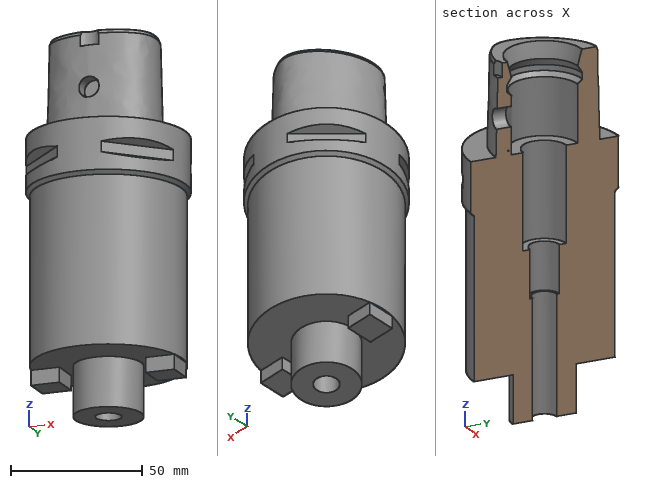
import cadquery as cq
import math

flange_diameter = 63.0
flange_height = 22.5
flange_chamfer = 1.5
body_diameter = flange_diameter - 2 * flange_chamfer
body_bottom_z = -90.0

shank_length = 38.0
shank_base_diameter = 44.3
shank_lobe_rise = 1.4
shank_diameter_taper = 1 / 20
shank_chamfer_height = 1.4
shank_chamfer_width = 0.6
lobed_point_count = 48

bore_diameter = 28.0
mouth_diameter = 31.6
mouth_depth = 6.6
undercut_diameter = 32.0
undercut_top_depth = 9.8
undercut_bottom_depth = 12.2
undercut_end_depth = 14.0
bore_depth = shank_length

screw_diameter = 18.2
screw_bottom_z = -40.0
thread_diameter = 12.4
thread_bottom_z = -60.0
coolant_diameter = 10.2

notch_radius = 5.0
notch_floor_y = -18.0
notch_depth = 5.8
side_hole_diameter = 8.2
side_hole_z = 15.5
side_hole_floor_y = -14.4

groove_count = 4
groove_first_angle = 45.0
groove_z = -11.9
groove_floor_distance = 27.7
groove_floor_height = 4.2
groove_mouth_height = 7.6

pilot_diameter = 27.0
pilot_length = 20.0
pilot_bottom_z = body_bottom_z - pilot_length
lug_width = 12.0
lug_height = 6.0
lug_inner_x = 17.7
lug_corner_radius = 30.0


def lobed_wire(diameter, z):
    """Closed three-lobed curve of constant width, with one lobe toward +Y."""

    def point(t):
        angle = 2 * math.pi * t
        support = diameter / 2 - shank_lobe_rise * math.sin(3 * angle)
        slope = -3 * shank_lobe_rise * math.cos(3 * angle)
        x = support * math.cos(angle) - slope * math.sin(angle)
        y = support * math.sin(angle) + slope * math.cos(angle)
        return (x, y, z)

    points = [point(i / lobed_point_count) for i in range(lobed_point_count)]
    spline = cq.Edge.makeSpline([cq.Vector(*p) for p in points], periodic=True)
    return cq.Wire.assembleEdges([spline])


def make_shank():
    """Tapered lobed shank with a chamfer around its top face."""
    chamfer_z = shank_length - shank_chamfer_height
    chamfer_diameter = shank_base_diameter - chamfer_z * shank_diameter_taper
    top_diameter = chamfer_diameter - 2 * shank_chamfer_width
    base = lobed_wire(shank_base_diameter, 0)
    shoulder = lobed_wire(chamfer_diameter, chamfer_z)
    top = lobed_wire(top_diameter, shank_length)
    taper = cq.Solid.makeLoft([base, shoulder], True)
    chamfer = cq.Solid.makeLoft([shoulder, top], True)
    return cq.Workplane(taper).union(cq.Workplane(chamfer))


def make_turned_body():
    """Flange, cylindrical body and pilot."""
    flange_radius = flange_diameter / 2
    body_radius = body_diameter / 2
    pilot_radius = pilot_diameter / 2
    return (
        cq.Workplane("XZ")
        .moveTo(0, 0)
        .lineTo(flange_radius, 0)
        .lineTo(flange_radius, flange_chamfer - flange_height)
        .lineTo(body_radius, -flange_height)
        .lineTo(body_radius, body_bottom_z)
        .lineTo(pilot_radius, body_bottom_z)
        .lineTo(pilot_radius, pilot_bottom_z)
        .lineTo(0, pilot_bottom_z)
        .close()
        .revolve(360, (0, 0, 0), (0, 1, 0))
    )


def make_axial_bore():
    """Clamping bore with conical mouth and undercut, then the stepped hole through the pilot."""
    return (
        cq.Workplane("XZ")
        .moveTo(0, shank_length)
        .lineTo(mouth_diameter / 2, shank_length)
        .lineTo(bore_diameter / 2, shank_length - mouth_depth)
        .lineTo(undercut_diameter / 2, shank_length - undercut_top_depth)
        .lineTo(undercut_diameter / 2, shank_length - undercut_bottom_depth)
        .lineTo(bore_diameter / 2, shank_length - undercut_end_depth)
        .lineTo(bore_diameter / 2, shank_length - bore_depth)
        .lineTo(screw_diameter / 2, shank_length - bore_depth)
        .lineTo(screw_diameter / 2, screw_bottom_z)
        .lineTo(thread_diameter / 2, screw_bottom_z)
        .lineTo(thread_diameter / 2, thread_bottom_z)
        .lineTo(coolant_diameter / 2, thread_bottom_z)
        .lineTo(coolant_diameter / 2, pilot_bottom_z)
        .lineTo(0, pilot_bottom_z)
        .close()
        .revolve(360, (0, 0, 0), (0, 1, 0))
    )


def make_notch():
    """Round-backed notch in the rim of the shank."""
    return (
        cq.Workplane("XY", origin=(0, notch_floor_y - notch_radius, shank_length))
        .circle(notch_radius)
        .extrude(-notch_depth)
    )


def make_side_hole():
    """Blind flat-bottomed hole in the side of the shank."""
    start_y = -flange_diameter / 2
    return (
        cq.Workplane("XZ", origin=(0, start_y, side_hole_z))
        .circle(side_hole_diameter / 2)
        .extrude(start_y - side_hole_floor_y)
    )


def make_groove(angle):
    """Straight groove with a flat floor and flared walls, facing the given direction."""
    mouth_distance = flange_diameter / 2
    floor_half = groove_floor_height / 2
    mouth_half = groove_mouth_height / 2
    return (
        cq.Workplane("XZ")
        .polyline([
            (groove_floor_distance, groove_z - floor_half),
            (mouth_distance, groove_z - mouth_half),
            (mouth_distance, groove_z + mouth_half),
            (groove_floor_distance, groove_z + floor_half),
        ])
        .close()
        .extrude(flange_diameter / 2, both=True)
        .rotate((0, 0, 0), (0, 0, 1), angle)
    )


def make_lug(side):
    """Rectangular drive lug under the body, on the +X (1) or -X (-1) side."""
    outer_x = math.sqrt(lug_corner_radius**2 - (lug_width / 2) ** 2)
    lug_length = outer_x - lug_inner_x
    return (
        cq.Workplane("XY", origin=(side * (lug_inner_x + lug_length / 2), 0, body_bottom_z))
        .rect(lug_length, lug_width)
        .extrude(-lug_height)
    )


part = make_turned_body().union(make_shank())
for lug_side in (-1, 1):
    part = part.union(make_lug(lug_side))
part = part.cut(make_axial_bore())
part = part.cut(make_notch())
part = part.cut(make_side_hole())
for index in range(groove_count):
    part = part.cut(make_groove(groove_first_angle + index * 360 / groove_count))

result = part